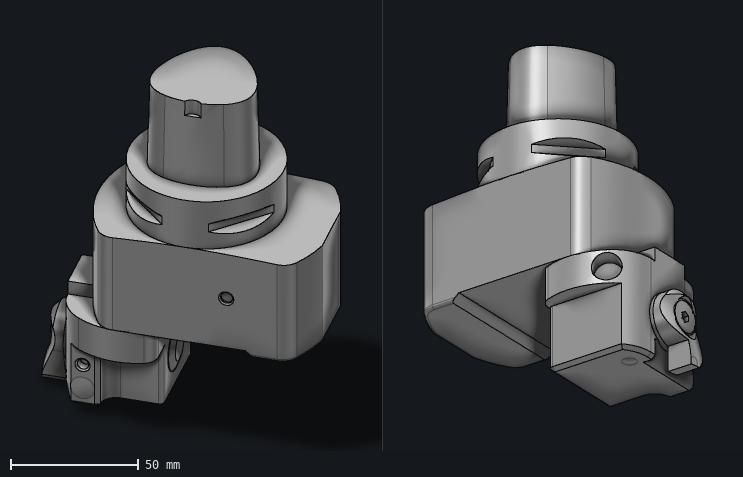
import cadquery as cq
import math


shank_top = 104.2
flange_top = 66.1
flange_bottom = 44.1
flange_radius = 31.7
shank_radius = 22.0
lobe_height = 1.7
shank_taper = 0.95
key_notch_diameter = 8.2
key_notch_depth = 6.5
key_notch_y = -21.7
groove_floor_height = 3.6
groove_floor_distance = 28.1
groove_flank_angle = 30
groove_z = 53.9

half_width = flange_radius
end_radius = 52.8
left_end_center_x = 8.5
block_corner_radius = 8.3
block_right = 51.2
top_cone_drop = 0.075
side_hole_x = 17.2
side_hole_z = 23.1
side_hole_diameter = 5.0
side_hole_mouth = 6.2
side_hole_depth = 1.5
side_hole_point = 0.5
lip_left = 24.9
lip_height = 3.0
lip_run = 3.8
lip_rounding = 1.5

head_center_x = -28.1
head_radius = half_width
head_left = -53.6
head_right = -12.8
head_left_corner = 18.7
head_right_corner = 6.3
lower_right_corner = 2.1
head_step_z = -14.6
head_bottom = -43.0
lower_half_width = 23.9
bottom_chamfer = 1.7
locating_key_top = 6.0
locating_key_y = (-11.5, 8.6)
pocket_face_y = -16.6
pocket_wall_x = -36.8
pocket_corner_radius = 6.3
column_right = -39.0
relief_side_y = 8.3
relief_top_z = -34.1
relief_bottom_x = -47.9
side_bore_diameter = 12.1
side_bore_angle = 120
side_bore_z = -7.2
side_bore_depth = 9.0
column_x = -44.0
set_hole_diameter = 4.7
set_hole_mouth = 6.2
set_hole_depth = 4.5
set_hole_point = set_hole_diameter / 2
set_pilot_diameter = 1.5
set_pilot_depth = 1.5
dome_diameter = 10.0
dome_height = 0.5
dome_z = -34.6
bottom_dome_diameter = 6.0
bottom_dome_y = 12.2

insert_z = -23.9
insert_diameter = 24.0
seat_left = -55.3
insert_rim_left = -60.0
face_axis_x = -43.2
face_crest_left = -65.2
face_crest_z = -10.5
face_waist_left = -62.8
arm_front_left = -65.8
arm_front_z = -37.8
arm_edge_y = 2.1
arm_heel = (-4.0, -45.9)
arm_flank_bottom = (-7.0, -42.6)
arm_flank_middle = (-8.9, -37.8)
arm_flank_top = (-11.5, -27.3)
cutting_tip_left = -66.6
cutting_tip_z = shank_top - 151
face_bottom_z = cutting_tip_z - 0.2
screw_face_left = -62.2
screw_head_diameter = 13.6
screw_head_length = 4.5
screw_shaft_diameter = 12.1
sink_diameter = 15.0
screw_end = -11.0
back_cone_diameter = 20.8
back_cone_base_length = 0.3
socket_diameter = 4.7
socket_depth = 2.3

overcut = 1.5


def x_cylinder(diameter, x_start, x_end):
    """Cylinder on the insert axis."""
    disc = cq.Workplane("YZ", origin=(x_start, 0, insert_z)).circle(diameter / 2)
    return disc.extrude(x_end - x_start)


def x_cone(start_diameter, end_diameter, x_start, x_end):
    """Truncated cone on the insert axis."""
    cone = cq.Solid.makeCone(
        start_diameter / 2, end_diameter / 2, x_end - x_start,
        pnt=cq.Vector(x_start, 0, insert_z), dir=cq.Vector(1, 0, 0),
    )
    return cq.Workplane(obj=cone)


def y_drilling(x, y, z, mouth, diameter, depth, point_height):
    """Tool for a countersunk blind hole with a conical bottom, entering along +Y."""
    sink = (mouth - diameter) / 2
    radius = diameter / 2
    profile = [(0, -overcut), (mouth / 2, -overcut), (mouth / 2, 0), (radius, sink),
               (radius, depth), (0, depth + point_height)]
    tool = cq.Workplane("XY").polyline(profile).close().revolve(360, (0, 0, 0), (0, 1, 0))
    return tool.translate((x, y, z))


def dome(diameter, height):
    """Spherical cap that bulges along +Z, on a short root that joins it to a face."""
    radius = diameter / 2
    sphere_radius = (radius ** 2 + height ** 2) / (2 * height)
    half_angle = math.asin(radius / sphere_radius) / 2
    middle = (sphere_radius * math.sin(half_angle),
              height - sphere_radius * (1 - math.cos(half_angle)))
    profile = (cq.Workplane("XZ").moveTo(0, -overcut).lineTo(radius, -overcut).lineTo(radius, 0)
               .threePointArc(middle, (0, height)).close())
    return profile.revolve(360, (0, 0, 0), (0, 1, 0))


def shank_section(radius, z):
    """Closed three-lobed section with one lobe toward +Y, in six spline stretches."""
    def point(degrees):
        angle = math.radians(degrees)
        return cq.Vector(
            radius * math.sin(angle) - lobe_height * math.sin(2 * angle),
            radius * math.cos(angle) + lobe_height * math.cos(2 * angle),
            z,
        )

    stretches = [
        cq.Edge.makeSpline([point(start + step) for step in range(0, 61, 10)])
        for start in range(30, 390, 60)
    ]
    return cq.Wire.assembleEdges(stretches)


def make_shank():
    solid = cq.Solid.makeLoft(
        [shank_section(shank_radius, flange_top),
         shank_section(shank_radius - shank_taper, shank_top)],
        True,
    )
    notch = (cq.Workplane("XY", origin=(0, key_notch_y, shank_top - key_notch_depth))
             .circle(key_notch_diameter / 2).extrude(key_notch_depth + overcut))
    return cq.Workplane(obj=solid).cut(notch)


def make_flange():
    flange = (cq.Workplane("XY", origin=(0, 0, flange_bottom))
              .circle(flange_radius).extrude(flange_top - flange_bottom))
    reach = flange_radius - groove_floor_distance + overcut
    floor_half = groove_floor_height / 2
    mouth_half = floor_half + reach * math.tan(math.radians(groove_flank_angle))
    groove = (
        cq.Workplane("XZ")
        .polyline([(groove_floor_distance, groove_z - floor_half),
                   (groove_floor_distance + reach, groove_z - mouth_half),
                   (groove_floor_distance + reach, groove_z + mouth_half),
                   (groove_floor_distance, groove_z + floor_half)])
        .close().extrude(flange_radius, both=True)
    )
    for angle in range(45, 360, 90):
        flange = flange.cut(groove.rotate((0, 0, 0), (0, 0, 1), angle))
    return flange


def block_prism(bottom, top):
    """Block outline: a straight-sided bar with round ends and a flat at the right."""
    height = top - bottom
    plane = cq.Workplane("XY", origin=(0, 0, bottom))
    bar = plane.rect(4 * end_radius, 2 * half_width).extrude(height)
    right_end = plane.circle(end_radius).extrude(height)
    left_end = plane.center(left_end_center_x, 0).circle(end_radius).extrude(height)
    prism = bar.intersect(right_end).intersect(left_end).edges("|Z").fillet(block_corner_radius)
    trim = plane.center(block_right + end_radius, 0).rect(2 * end_radius, 4 * end_radius).extrude(height)
    return prism.cut(trim)


def make_block():
    block = block_prism(0, flange_bottom)
    rim_z = flange_bottom - top_cone_drop * (end_radius + overcut - flange_radius)
    cone_roof = (
        cq.Workplane("XZ")
        .polyline([(0, 0), (end_radius + overcut, 0), (end_radius + overcut, rim_z),
                   (flange_radius, flange_bottom), (0, flange_bottom)])
        .close().revolve(360, (0, 0, 0), (0, 1, 0))
    )
    hole = y_drilling(side_hole_x, -half_width, side_hole_z,
                      side_hole_mouth, side_hole_diameter, side_hole_depth, side_hole_point)
    return block.intersect(cone_roof).cut(hole)


def make_lip():
    lip = block_prism(-lip_height, 0).faces("<Z").edges().fillet(lip_rounding)
    sloped_end = (
        cq.Workplane("XZ")
        .polyline([(lip_left, 0), (lip_left + lip_run, -lip_height),
                   (2 * end_radius, -lip_height), (2 * end_radius, 0)])
        .close().extrude(2 * half_width, both=True)
    )
    return lip.intersect(sloped_end)


def make_housing():
    return make_block().union(make_lip()).union(make_flange()).union(make_shank())


def head_prism(bottom, top):
    """Head outline: a circle flattened at both ends, its left corners rounded."""
    height = top - bottom
    plane = cq.Workplane("XY", origin=(0, 0, bottom))
    disc = plane.center(head_center_x, 0).circle(head_radius).extrude(height)
    ends = plane.center((head_left + head_right) / 2, 0)
    bar = ends.rect(head_right - head_left, 4 * head_radius).extrude(height)
    prism = disc.intersect(bar)
    return prism.edges("|Z and <X").fillet(head_left_corner)


def pocket_tool():
    """Clears the -Y side of the lower head beside the column, with a concave corner."""
    corner_x = pocket_wall_x + pocket_corner_radius
    corner_y = pocket_face_y - pocket_corner_radius
    diagonal = pocket_corner_radius * math.sqrt(0.5)
    outline = (
        cq.Workplane("XY", origin=(0, 0, head_bottom - overcut))
        .moveTo(column_right, -lower_half_width)
        .lineTo(pocket_wall_x, corner_y)
        .threePointArc((corner_x - diagonal, corner_y + diagonal), (corner_x, pocket_face_y))
        .lineTo(head_right + overcut, pocket_face_y)
        .lineTo(head_right + overcut, -lower_half_width - overcut)
        .lineTo(column_right, -lower_half_width - overcut)
        .close()
    )
    return outline.extrude(head_step_z - head_bottom + overcut)


def make_lower_head():
    slab = (cq.Workplane("XY", origin=(0, 0, head_bottom))
            .rect(4 * head_radius, 2 * lower_half_width).extrude(head_step_z - head_bottom))
    lower = head_prism(head_bottom, head_step_z).intersect(slab).cut(pocket_tool())
    lower = lower.edges("|Z and >X").fillet(lower_right_corner)
    return lower.faces("<Z").chamfer(bottom_chamfer)


def relief_tool():
    """Sloped clearance below the insert, open toward -Y."""
    slope = cq.Workplane("XZ", origin=(0, relief_side_y, 0)).polyline(
        [(head_left, relief_top_z), (relief_bottom_x, head_bottom),
         (relief_bottom_x, head_bottom - overcut), (head_left - overcut, head_bottom - overcut),
         (head_left - overcut, relief_top_z)])
    return slope.close().extrude(2 * head_radius)


def side_bore():
    """Blind bore square to the round wall of the upper head."""
    bore = cq.Workplane("YZ", origin=(head_radius - side_bore_depth, 0, side_bore_z))
    bore = bore.circle(side_bore_diameter / 2).extrude(side_bore_depth + overcut)
    return bore.rotate((0, 0, 0), (0, 0, 1), side_bore_angle).translate((head_center_x, 0, 0))


def locating_key():
    """Bar on top of the head, fitted against the round end of the block."""
    low, high = locating_key_y
    bar = cq.Workplane("XY").box(head_center_x - head_left, high - low, locating_key_top, centered=False)
    return bar.translate((head_left, low, 0)).cut(block_prism(0, flange_bottom))


def make_head():
    head = head_prism(head_step_z, 0).edges("|Z and >X").fillet(head_right_corner)
    head = head.union(make_lower_head()).cut(relief_tool())
    head = head.union(locating_key()).cut(side_bore())
    head = head.union(x_cylinder(insert_diameter, seat_left, head_left + overcut))

    back_cone_start = head_right + back_cone_base_length
    head = head.union(x_cylinder(back_cone_diameter, head_right - overcut, back_cone_start))
    head = head.union(x_cone(back_cone_diameter, screw_shaft_diameter, back_cone_start, screw_end))

    head = head.cut(y_drilling(column_x, -lower_half_width, insert_z,
                               set_hole_mouth, set_hole_diameter, set_hole_depth, set_hole_point))
    pilot_depth = set_hole_depth + set_hole_point + set_pilot_depth
    pilot = cq.Workplane("XZ", origin=(column_x, pilot_depth - lower_half_width, insert_z))
    head = head.cut(pilot.circle(set_pilot_diameter / 2).extrude(pilot_depth))

    side_dome = dome(dome_diameter, dome_height).rotate((0, 0, 0), (1, 0, 0), 90)
    bottom_dome = dome(bottom_dome_diameter, dome_height).rotate((0, 0, 0), (1, 0, 0), 180)
    head = head.union(side_dome.translate((column_x, -lower_half_width, dome_z)))
    head = head.union(bottom_dome.translate((column_x, bottom_dome_y, head_bottom)))
    return head.cut(make_screw_blank())


def make_screw_blank():
    """Screw without its socket; also the shape of the hole that takes it."""
    head = x_cylinder(screw_head_diameter, screw_face_left, screw_face_left + screw_head_length)
    return head.union(x_cylinder(screw_shaft_diameter, screw_face_left, screw_end))


def make_screw():
    socket = (cq.Workplane("YZ", origin=(screw_face_left, 0, insert_z))
              .polygon(6, socket_diameter).extrude(socket_depth)
              .rotate((0, 0, insert_z), (1, 0, insert_z), 90))
    return make_screw_blank().cut(socket)


def make_face_envelope():
    """Round solid on an upright axis; its waisted wall is the front face of the insert."""
    profile = (
        cq.Workplane("XZ")
        .moveTo(face_axis_x, face_bottom_z)
        .lineTo(cutting_tip_left, face_bottom_z)
        .spline([(arm_front_left, arm_front_z), (face_waist_left, insert_z),
                 (face_crest_left, face_crest_z)], includeCurrent=True)
        .lineTo(face_axis_x, face_crest_z)
        .close()
    )
    return profile.revolve(360, (face_axis_x, 0, 0), (face_axis_x, 1, 0))


def make_insert():
    full_length = seat_left - cutting_tip_left
    nose_length = insert_rim_left - cutting_tip_left
    nose_diameter = insert_diameter - 2 * nose_length

    disc = x_cylinder(insert_diameter, insert_rim_left, seat_left)
    upper = disc.union(x_cone(nose_diameter, insert_diameter, cutting_tip_left, insert_rim_left))
    lower = (
        cq.Workplane("YZ", origin=(seat_left, 0, insert_z))
        .moveTo(-insert_diameter / 2, 0)
        .threePointArc((0, -insert_diameter / 2), (insert_diameter / 2, 0))
        .close().extrude(-full_length)
    )
    arm = (
        cq.Workplane("YZ", origin=(seat_left, 0, 0))
        .moveTo(arm_edge_y, insert_z)
        .lineTo(arm_edge_y, cutting_tip_z)
        .lineTo(*arm_heel)
        .lineTo(*arm_flank_bottom)
        .threePointArc(arm_flank_middle, arm_flank_top)
        .lineTo(arm_flank_top[0], insert_z)
        .close().extrude(-full_length)
    )
    insert = upper.union(lower).union(arm).intersect(make_face_envelope())

    sink_length = screw_face_left - cutting_tip_left
    sink = x_cone(sink_diameter + 2 * sink_length, sink_diameter, cutting_tip_left, screw_face_left)
    return insert.cut(sink).cut(make_screw_blank())


housing = make_housing()
head = make_head()
insert = make_insert()
screw = make_screw()

result = cq.Compound.makeCompound([housing.val(), head.val(), insert.val(), screw.val()])